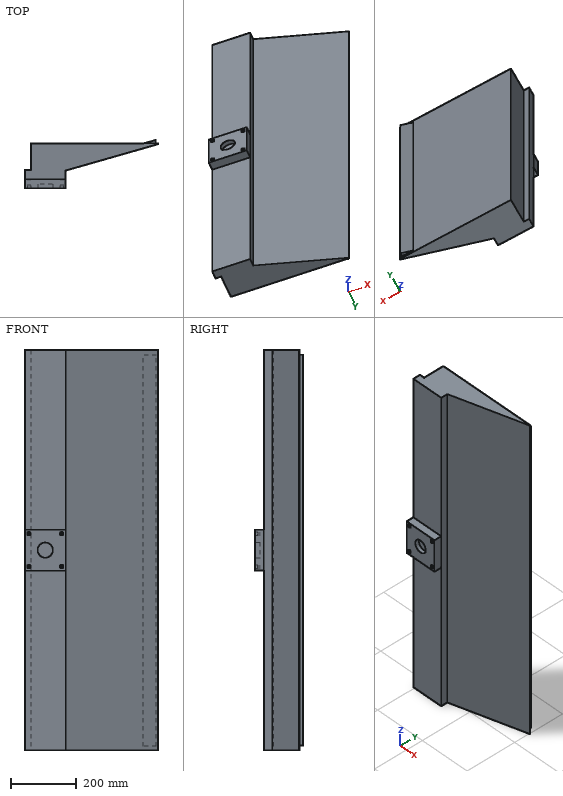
import cadquery as cq

HEIGHT = 1226.0
TOTAL_WIDTH = 408.0
TOTAL_DEPTH = 148.0

PLATE_SIZE = 125.0
PLATE_THICKNESS = 28.0
SOCKET_DIAMETER = 47.0
SOCKET_DEPTH = 15.0
SCREW_HOLE_DIAMETER = 6.0
SCREW_HEAD_DIAMETER = 11.0
SCREW_HEAD_DEPTH = 7.0
SCREW_SPACING = 100.0

POST_FRONT = PLATE_THICKNESS
POST_WIDTH = PLATE_SIZE
STEP_DEPTH = 28.0
STEP_WIDTH = 18.0
WING_START = 26.0
WING_BACK = 137.0
TIP_THICKNESS = 2.0

STRIP_WIDTH = 39.0
STRIP_RISE = TOTAL_DEPTH - WING_BACK
STRIP_TIP_INSET = 7.0
STRIP_END_INSET = 15.0


def make_panel():
    outline = [
        (0, POST_FRONT),
        (POST_WIDTH, POST_FRONT),
        (POST_WIDTH, POST_FRONT + WING_START),
        (TOTAL_WIDTH, WING_BACK - TIP_THICKNESS),
        (TOTAL_WIDTH, WING_BACK),
        (STEP_WIDTH, WING_BACK),
        (STEP_WIDTH, POST_FRONT + STEP_DEPTH),
        (0, POST_FRONT + STEP_DEPTH),
    ]
    return cq.Workplane("XY").polyline(outline).close().extrude(HEIGHT)


def make_plate():
    """Square plate with a blind round socket and four counterbored screw holes."""
    plate = cq.Workplane("XY").box(
        PLATE_SIZE, PLATE_THICKNESS, PLATE_SIZE, centered=(True, False, True)
    )
    socket = cq.Workplane("XZ").circle(SOCKET_DIAMETER / 2).extrude(-SOCKET_DEPTH)
    plate = plate.cut(socket)
    plate = (
        plate.faces("<Y")
        .workplane(origin=(0, 0, 0))
        .rect(SCREW_SPACING, SCREW_SPACING, forConstruction=True)
        .vertices()
        .cboreHole(SCREW_HOLE_DIAMETER, SCREW_HEAD_DIAMETER, SCREW_HEAD_DEPTH)
    )
    return plate.translate((PLATE_SIZE / 2, 0, HEIGHT / 2))


def make_strip():
    """Wedge that thickens toward the tip of the wing and stops short of both panel ends."""
    tip_x = TOTAL_WIDTH - STRIP_TIP_INSET
    outline = [
        (tip_x - STRIP_WIDTH, WING_BACK),
        (tip_x, WING_BACK),
        (tip_x, WING_BACK + STRIP_RISE),
    ]
    length = HEIGHT - 2 * STRIP_END_INSET
    strip = cq.Workplane("XY").polyline(outline).close().extrude(length)
    return strip.translate((0, 0, STRIP_END_INSET))


panel = make_panel()
plate = make_plate()
strip = make_strip()

result = cq.Compound.makeCompound([panel.val(), plate.val(), strip.val()])